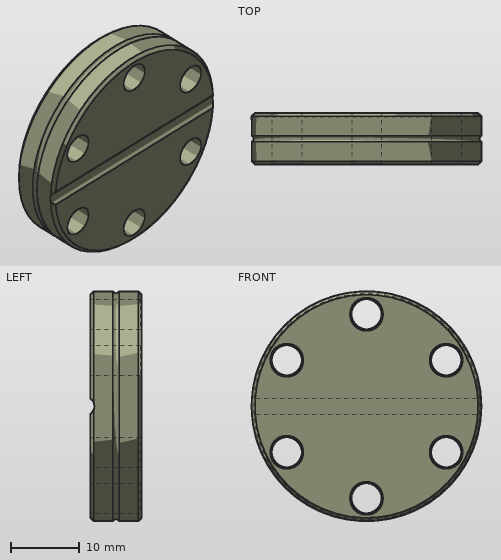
import cadquery as cq
import math

disc_diameter = 33.8
disc_thickness = 7.6
rim_chamfer = 0.5

hole_count = 6
hole_diameter = 4.4
hole_chamfer = 0.25
bolt_circle_diameter = 27.05

rim_groove_width = 0.9
rim_groove_depth = 0.27

channel_width = 2.3
channel_depth = 0.6

disc_radius = disc_diameter / 2
front_y = -disc_thickness / 2
back_y = disc_thickness / 2


def arc_radius(width, depth):
    """Radius of a circular arc with the given chord width and depth."""
    return ((width / 2) ** 2 + depth**2) / (2 * depth)


def cylinder_along_y(diameter, length):
    """Cylinder along Y, centred on the origin."""
    return cq.Workplane("XZ").circle(diameter / 2).extrude(length / 2, both=True)


def chamfered_disc():
    disc = cylinder_along_y(disc_diameter, disc_thickness)
    return disc.faces("<Y or >Y").edges().chamfer(rim_chamfer)


def rim_groove():
    """Ring of circular section whose inner part forms the rim groove."""
    section_radius = arc_radius(rim_groove_width, rim_groove_depth)
    center_radius = disc_radius - rim_groove_depth + section_radius
    section = cq.Workplane("XY").center(center_radius, 0).circle(section_radius)
    return section.revolve(360, (-center_radius, 0, 0), (-center_radius, 1, 0))


def bolt_hole():
    """Through hole on the disc axis, widened by a 45 degree chamfer at the front face."""
    bore = cylinder_along_y(hole_diameter, disc_thickness)
    mouth_radius = hole_diameter / 2 + hole_chamfer
    countersink = cq.Solid.makeCone(
        mouth_radius,
        hole_diameter / 2,
        hole_chamfer,
        pnt=cq.Vector(0, front_y, 0),
        dir=cq.Vector(0, 1, 0),
    )
    return bore.union(cq.Workplane(countersink))


def back_channel():
    """Bar along X whose lower part forms the channel across the back face."""
    bar_radius = arc_radius(channel_width, channel_depth)
    bar_center_y = back_y - channel_depth + bar_radius
    bar = cq.Workplane("YZ").center(bar_center_y, 0).circle(bar_radius)
    return bar.extrude(disc_radius, both=True)


result = chamfered_disc().cut(rim_groove()).cut(back_channel())

for index in range(hole_count):
    angle = math.pi / 2 + index * 2 * math.pi / hole_count
    hole_x = bolt_circle_diameter / 2 * math.cos(angle)
    hole_z = bolt_circle_diameter / 2 * math.sin(angle)
    result = result.cut(bolt_hole().translate((hole_x, 0, hole_z)))